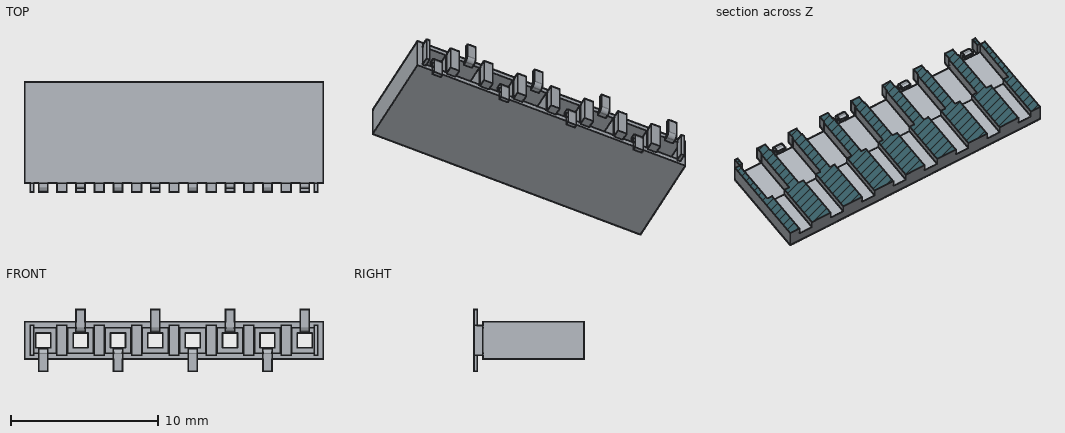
import cadquery as cq

way_count = 8
housing_length = 20.32
housing_depth = 6.89
housing_height = 2.55
pitch = housing_length / way_count

pocket_size = 1.75
pocket_depth = 3.45
hole_size = 1.0

standoff_reach = 0.6
standoff_width = 0.67
standoff_height = 2.03
end_standoff_width = 0.25
end_standoff_inset = 0.39

lead_width = 0.63
lead_thickness = 0.25
lead_span = 4.2
lead_foot_offset = 0.57
lead_length = standoff_reach
bend_inner_radius = 0.1
bend_outer_radius = 0.3

end_standoff_x = housing_length / 2 - end_standoff_inset - end_standoff_width / 2
way_positions = [(index - (way_count - 1) / 2) * pitch for index in range(way_count)]
wall_positions = [x + pitch / 2 for x in way_positions[:-1]]


def block(x_min, x_max, y_min, y_max, height):
    """Box between the given X and Y limits, centred on Z = 0."""
    box = cq.Workplane("XY").box(x_max - x_min, y_max - y_min, height)
    return box.translate(((x_min + x_max) / 2, (y_min + y_max) / 2, 0))


def cavity(x):
    """Pocket and through hole of one way."""
    pocket = block(x - pocket_size / 2, x + pocket_size / 2, 0, pocket_depth, pocket_size)
    hole = block(x - hole_size / 2, x + hole_size / 2, 0, housing_depth, hole_size)
    return pocket.union(hole)


def standoff(x, width):
    """Upright rib centred on X that stands out of the lead-side face."""
    return block(x - width / 2, x + width / 2, -standoff_reach, 0, standoff_height)


def make_housing():
    body = block(-housing_length / 2, housing_length / 2, 0, housing_depth, housing_height)
    for x in way_positions:
        body = body.cut(cavity(x))
    for x in wall_positions:
        body = body.union(standoff(x, standoff_width))
    for x in (-end_standoff_x, end_standoff_x):
        body = body.union(standoff(x, end_standoff_width))
    return body


def make_lead(x, points_up):
    """L-shaped lead: a foot along Y from the pocket mouth, then a leg along Z."""
    front = -lead_length
    leg_back = front + lead_thickness
    foot_outside = lead_foot_offset + lead_thickness
    profile = (
        cq.Workplane("YZ")
        .moveTo(0, lead_foot_offset)
        .lineTo(front + bend_outer_radius, lead_foot_offset)
        .radiusArc((front, lead_foot_offset + bend_outer_radius), bend_outer_radius)
        .lineTo(front, lead_span / 2)
        .lineTo(leg_back, lead_span / 2)
        .lineTo(leg_back, foot_outside + bend_inner_radius)
        .radiusArc((leg_back + bend_inner_radius, foot_outside), -bend_inner_radius)
        .lineTo(0, foot_outside)
        .close()
    )
    lead = profile.extrude(lead_width / 2, both=True)
    if not points_up:
        lead = lead.mirror("XY")
    return lead.translate((x, 0, 0))


housing = make_housing()

leads = []
for index, x in enumerate(way_positions):
    leads.append(make_lead(x, points_up=index % 2 == 1))

result = cq.Compound.makeCompound([housing.val(), *[lead.val() for lead in leads]])